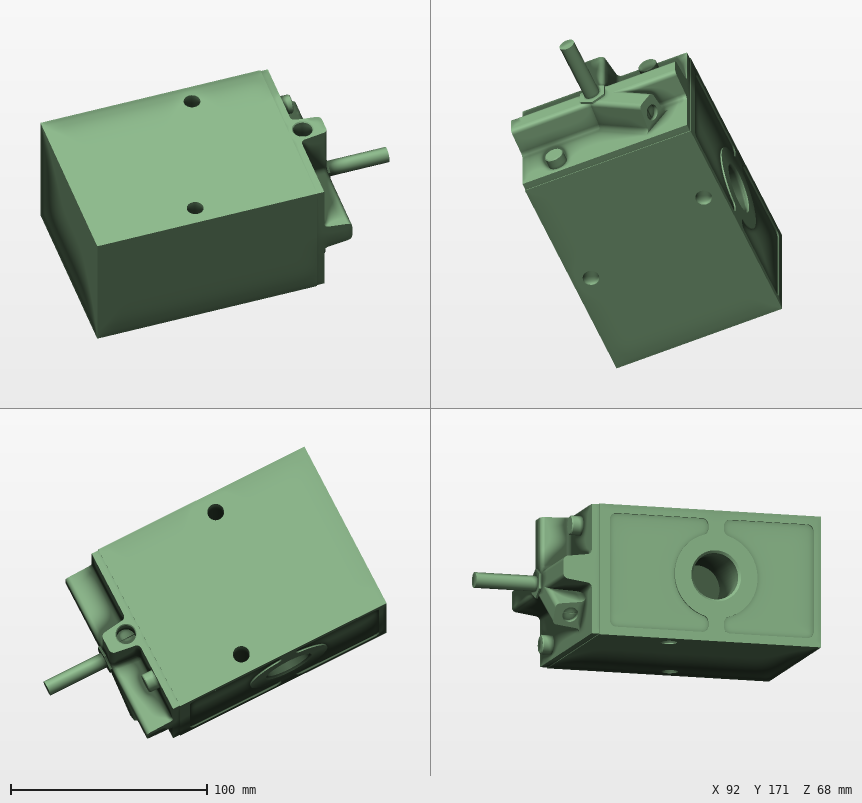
import cadquery as cq
import math

block_width = 92.0
block_length = 118.2
block_height = 68.0
total_length = 171.0

cover_inset = 0.3
cover_width = block_width - 2 * cover_inset
cover_height = block_height - 2 * cover_inset
cover_thickness = 4.0
cover_face = block_length + cover_thickness

rib_top = 137.1
rib_tip_width = 11.3
rib_base_width = 15.4
rib_fillet = 2.5
cable_rib_angle = 216.0
cable_rib_length = 36.0

top_hole_y = 125.7
top_hole_diameter = 10.0
top_hole_depth = 10.3
top_hole_chamfer = 0.5
cable_hole_y = 128.6
cable_hole_diameter = 8.2
cable_hole_depth = 2.4
slot_width = 0.7
slot_depth = 1.0

screw_offset = 26.0
screw_diameter = 10.0
screw_head_height = 5.8
screw_chamfer = 0.5

cable_diameter = 8.0
nut_flats = 13.3
nut_height = 1.2

bore_y = 56.0
bore_diameter = 24.1
bore_depth = 34.2
bore_chamfer = 1.2
recess_depth = 0.9
recess_front = 4.1
recess_back = 112.5
recess_height = 59.2
recess_corner = 3.2
ring_diameter = 44.1
bridge_width = 8.4

mount_diameter = 8.5
mount_x = 36.0
mount_spacing_y = 22.2

pick_margin = 0.2


def outward_plane(angle, distance):
    """Plane facing away from the cable axis, angle from +X towards +Z; its local y is Y."""
    turn = math.radians(angle)
    outward = cq.Vector(math.cos(turn), 0, math.sin(turn))
    across = cq.Vector(0, 1, 0).cross(outward)
    return cq.Plane(origin=outward * distance, xDir=across, normal=outward)


def y_plane(x, y, z):
    """Plane facing +Y whose local x is Z."""
    return cq.Plane(origin=(x, y, z), xDir=(0, 0, 1), normal=(0, 1, 0))


def chamfered_hole(plane, y, diameter, depth, chamfer):
    """Cutter for a blind hole that opens on an outward plane."""
    mouth = cq.Workplane(plane).center(0, y)
    cone = (
        mouth.circle(diameter / 2 + chamfer)
        .workplane(offset=-chamfer)
        .circle(diameter / 2)
        .loft()
    )
    return mouth.circle(diameter / 2).extrude(-depth).union(cone)


def make_recesses():
    """Cutter for the two recesses, parted by a ring around the bore and a bridge above and below it."""
    side = cq.Workplane(outward_plane(180, block_width / 2))
    length = recess_back - recess_front
    panel = side.center(0, recess_front + length / 2).rect(recess_height, length).extrude(-recess_depth)
    ring = side.center(0, bore_y).circle(ring_diameter / 2).extrude(-recess_depth)
    bridge = side.center(0, bore_y).rect(block_height, bridge_width).extrude(-recess_depth)
    return panel.cut(ring).cut(bridge).edges("|X").fillet(recess_corner)


def make_block():
    block = cq.Workplane("XY").box(block_width, block_length, block_height, centered=(True, False, True))
    mount_places = [(-mount_x, bore_y + mount_spacing_y), (mount_x, bore_y)]
    mounts = (
        cq.Workplane("XY")
        .pushPoints(mount_places)
        .circle(mount_diameter / 2)
        .extrude(block_height, both=True)
    )
    bore_plane = outward_plane(180, block_width / 2)
    bore = chamfered_hole(bore_plane, bore_y, bore_diameter, bore_depth, bore_chamfer)
    return block.cut(mounts).cut(bore).cut(make_recesses())


def make_rib(angle, length):
    """Straight rib on a foot strip that lies inside the cover plate."""
    base = rib_base_width / 2
    tip = rib_tip_width / 2
    foot = base + rib_fillet
    outline = [(-foot, block_length), (-foot, cover_face), (-base, cover_face), (-tip, rib_top)]
    outline += [(-x, y) for x, y in reversed(outline)]
    return cq.Workplane(outward_plane(angle, 0)).polyline(outline).close().extrude(length)


def inner_edges(solid, y):
    """The edges lying at height y and inside the rim of the cover."""
    x = cover_width / 2 - pick_margin
    z = cover_height / 2 - pick_margin
    return solid.edges(cq.selectors.BoxSelector((-x, y - pick_margin, -z), (x, y + pick_margin, z)))


def make_tee():
    """Cover plate with the ribs towards -X, +X and +Z, rounded along crests, feet and inner corners."""
    tee = (
        cq.Workplane("XY", origin=(0, block_length, 0))
        .box(cover_width, cover_thickness, cover_height, centered=(True, False, True))
        .union(make_rib(0, cover_width / 2))
        .union(make_rib(180, cover_width / 2))
        .union(make_rib(90, cover_height / 2))
    )
    reach = rib_base_width / 2 + rib_fillet
    inner_corners = cq.selectors.BoxSelector(
        (-reach, cover_face + pick_margin, pick_margin),
        (reach, rib_top - pick_margin, reach),
    )
    tee = tee.edges(inner_corners).fillet(rib_fillet)
    tee = inner_edges(tee, rib_top).fillet(rib_fillet)
    return inner_edges(tee, cover_face).fillet(rib_fillet)


def make_cable_rib():
    """Short sloping rib with the same rounding, ending square above the plate."""
    rib = make_rib(cable_rib_angle, cable_rib_length)
    middle = outward_plane(cable_rib_angle, cable_rib_length / 2)
    for width, y in ((rib_base_width, cover_face), (rib_tip_width, rib_top)):
        for side in (-1, 1):
            point = middle.toWorldCoords((side * width / 2, y))
            rib = rib.edges(cq.NearestToPointSelector(point.toTuple())).fillet(rib_fillet)
    return rib


def make_slot(floor_plane, y, diameter):
    """Cutter for the driver slot across the floor of a sunk-screw hole."""
    floor = cq.Workplane(floor_plane).center(0, y)
    disc = floor.circle(diameter / 2).extrude(-slot_depth)
    return floor.rect(slot_width, diameter).extrude(-slot_depth).intersect(disc)


def make_sunk_screw(angle, length, y, diameter, depth, chamfer=None):
    """Cutter for a hole in a rib end with a slotted screw at its bottom."""
    end = outward_plane(angle, length)
    if chamfer:
        hole = chamfered_hole(end, y, diameter, depth, chamfer)
    else:
        hole = cq.Workplane(end).center(0, y).circle(diameter / 2).extrude(-depth)
    return hole.union(make_slot(outward_plane(angle, length - depth), y, diameter))


def make_cover():
    top_screw = make_sunk_screw(
        90, cover_height / 2, top_hole_y, top_hole_diameter, top_hole_depth, top_hole_chamfer
    )
    cable_screw = make_sunk_screw(
        cable_rib_angle, cable_rib_length, cable_hole_y, cable_hole_diameter, cable_hole_depth
    )
    return make_tee().union(make_cable_rib()).cut(top_screw).cut(cable_screw)


def make_screw_head(x, z):
    head = (
        cq.Workplane(y_plane(x, block_length, z))
        .circle(screw_diameter / 2)
        .extrude(cover_thickness + screw_head_height)
    )
    return head.faces(">Y").chamfer(screw_chamfer)


def make_cable():
    cable_length = total_length - block_length
    cable = cq.Workplane(y_plane(0, block_length, 0)).circle(cable_diameter / 2).extrude(cable_length)
    nut_corners = nut_flats / math.cos(math.pi / 6)
    nut = cq.Workplane(y_plane(0, rib_top, 0)).polygon(6, nut_corners).extrude(nut_height)
    return cable.union(nut)


result = (
    make_block()
    .union(make_cover())
    .union(make_screw_head(-screw_offset, screw_offset))
    .union(make_screw_head(screw_offset, -screw_offset))
    .union(make_cable())
)